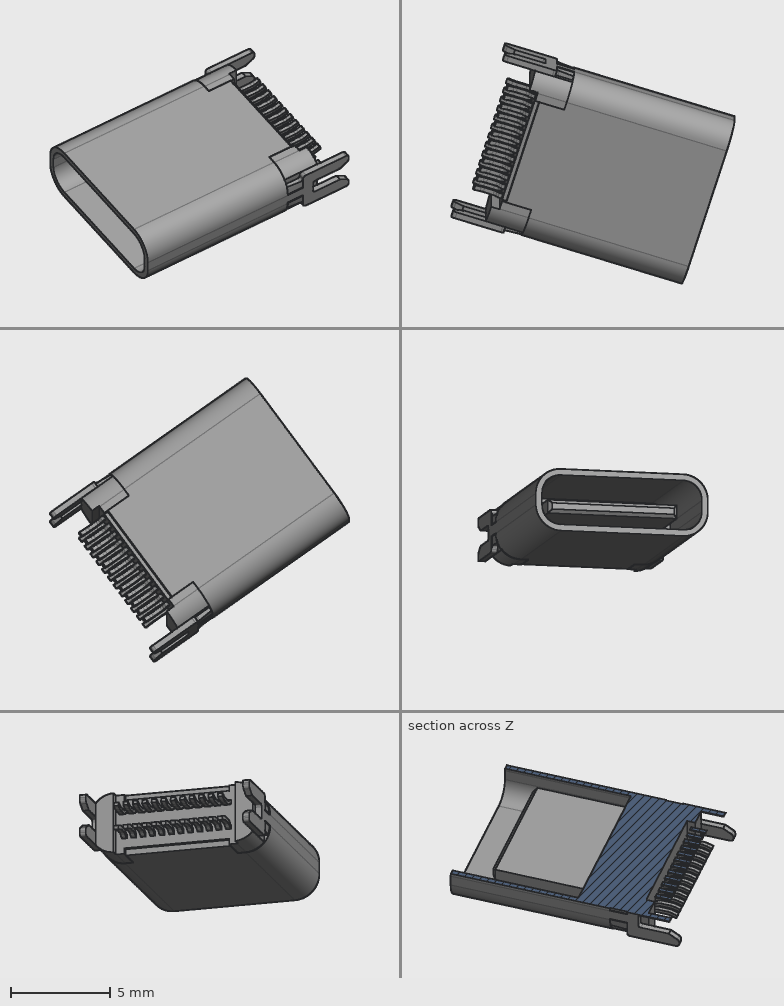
import cadquery as cq
import math

WIDTH = 8.94
HEIGHT = 3.16
LENGTH = 12.16
HALF_WIDTH = WIDTH / 2

SHELL_RADIUS = 1.29
SHELL_WALL = 0.32
SHELL_END = 9.79
CAVITY_DEPTH = 6.69

CORE_INSET = 0.02
CORE_END = 10.01
EAR_END = 10.45
EAR_INNER_X = 3.21

WINDOW_START = 8.48
WINDOW_INNER_X = 2.76
STRIP_HALF_HEIGHT = HEIGHT / 2 - SHELL_RADIUS

TONGUE_WIDTH = 6.69
TONGUE_THICKNESS = 0.68
TONGUE_START = 1.82
TONGUE_CHAMFER = 0.18

TAB_THICKNESS = 0.33
TAB_INNER_X = HALF_WIDTH - TAB_THICKNESS
TAB_HALF_HEIGHT = 1.11
TAB_START = 9.39
TAB_CORNER_RADIUS = 0.17
FORK_HALF_GAP = 0.39
FORK_END = 10.0
FORK_CORNER_RADIUS = 0.11
TIP_TAPER_START = 11.61
TIP_TAPER_ANGLE = 30.0
TIP_OUTER_RADIUS = 0.18
TIP_INNER_RADIUS = 0.24

SHOULDER_HALF_HEIGHT = 0.75
SHOULDER_FILLET = 0.12
SHOULDER_BASE_X = 4.43
SHOULDER_FRONT_X = 4.35
SHOULDER_REAR_X = 4.41

PIN_COUNT = 12
PIN_PITCH = 0.5
PIN_WIDTH = 0.24
PIN_THICKNESS = 0.2
PIN_ROOT_DEPTH = 0.24
PIN_ROOT_LENGTH = 0.07
PIN_CONTACT_Z = 0.39
PIN_CRANK_ANGLE = 35.0
PIN_CRANK_LENGTH = 0.16
PIN_CREST_RADIUS = 0.13
PIN_HEEL_RADIUS = 0.34
PIN_CONTACT_LENGTH = 0.51
PIN_FLARE_ANGLE = 18.0
PIN_FLARE_RADIUS = 0.67
PIN_FLARE_LENGTH = 0.32


def box(x_range, y_range, z_range):
    """Box spanning the given (low, high) range on each axis."""
    sizes = [high - low for low, high in (x_range, y_range, z_range)]
    return cq.Workplane("XY").box(*sizes, centered=False).translate((x_range[0], y_range[0], z_range[0]))


def rounded_bar(inset, y_start, y_end):
    """Shell outline, shrunk by an inset, extruded along Y."""
    return (
        cq.Workplane("XZ", origin=(0, y_start, 0))
        .rect(WIDTH - 2 * inset, HEIGHT - 2 * inset)
        .extrude(y_start - y_end)
        .edges("|Y")
        .fillet(SHELL_RADIUS - inset)
    )


def both_sides(solid):
    """The solid together with its mirror image in X."""
    return solid.union(solid.mirror("YZ"))


def make_shell():
    """Rounded tube whose rear corners are cut away, leaving a strip along each side."""
    shell = rounded_bar(0, 0, SHELL_END).cut(rounded_bar(SHELL_WALL, 0, CAVITY_DEPTH))
    for low, high in ((STRIP_HALF_HEIGHT, HEIGHT), (-HEIGHT, -STRIP_HALF_HEIGHT)):
        window = box((WINDOW_INNER_X, WIDTH), (WINDOW_START, LENGTH), (low, high))
        shell = shell.cut(both_sides(window))
    return shell


def make_core():
    """Rear plug with an ear on each side, stepped down behind the shell and trimmed beside the tabs."""
    core = rounded_bar(CORE_INSET, CAVITY_DEPTH, EAR_END)
    core = core.cut(box((-EAR_INNER_X, EAR_INNER_X), (CORE_END, LENGTH), (-HEIGHT, HEIGHT)))
    step_z = HEIGHT / 2 - SHELL_WALL
    for low, high in ((step_z, HEIGHT), (-HEIGHT, -step_z)):
        core = core.cut(box((-WINDOW_INNER_X, WINDOW_INNER_X), (SHELL_END, LENGTH), (low, high)))
    beside_tab = box((TAB_INNER_X, WIDTH), (WINDOW_START, LENGTH), (-HEIGHT, HEIGHT))
    return core.cut(both_sides(beside_tab))


def make_tongue():
    """Flat tongue with a chamfered front, standing on the cavity floor."""
    return (
        cq.Workplane("XZ", origin=(0, TONGUE_START, 0))
        .rect(TONGUE_WIDTH, TONGUE_THICKNESS)
        .extrude(TONGUE_START - CAVITY_DEPTH)
        .faces("<Y")
        .chamfer(TONGUE_CHAMFER)
    )


def make_tab():
    """Plate with two tapered, rounded prongs, joined to the shell by its side strip."""
    taper_rise = (LENGTH - TIP_TAPER_START) * math.tan(math.radians(TIP_TAPER_ANGLE))
    taper_end_z = FORK_HALF_GAP + taper_rise
    upper = [
        (TAB_START, TAB_HALF_HEIGHT),
        (LENGTH, TAB_HALF_HEIGHT),
        (LENGTH, taper_end_z),
        (TIP_TAPER_START, FORK_HALF_GAP),
        (FORK_END, FORK_HALF_GAP),
    ]
    lower = [(y, -z) for y, z in reversed(upper)]
    tab = (
        cq.Workplane("YZ", origin=(TAB_INNER_X, 0, 0))
        .polyline(upper + lower)
        .close()
        .extrude(TAB_THICKNESS)
    )

    corner_radii = (
        (TAB_START, TAB_HALF_HEIGHT, TAB_CORNER_RADIUS),
        (LENGTH, TAB_HALF_HEIGHT, TIP_OUTER_RADIUS),
        (LENGTH, taper_end_z, TIP_INNER_RADIUS),
        (FORK_END, FORK_HALF_GAP, FORK_CORNER_RADIUS),
    )
    mid_x = TAB_INNER_X + TAB_THICKNESS / 2
    for y, z, radius in corner_radii:
        for side in (1, -1):
            tab = tab.edges(cq.selectors.NearestToPointSelector((mid_x, y, side * z))).fillet(radius)

    strip = box((TAB_INNER_X, HALF_WIDTH), (WINDOW_START, TAB_START), (-STRIP_HALF_HEIGHT, STRIP_HALF_HEIGHT))
    tab = tab.union(strip).union(make_shoulder())
    for side in (1, -1):
        tab = tab.union(make_shoulder_fillet(side))
    return tab


def make_shoulder():
    """Block in front of the tab whose leaning outer faces widen toward the tab."""
    shoulder = cq.Workplane("XZ", origin=(0, WINDOW_START, 0))
    for distance, rim_x in ((0, SHOULDER_FRONT_X), (WINDOW_START - TAB_START, SHOULDER_REAR_X)):
        upper = [
            (TAB_INNER_X, SHOULDER_HALF_HEIGHT),
            (rim_x, SHOULDER_HALF_HEIGHT),
            (SHOULDER_BASE_X, STRIP_HALF_HEIGHT),
        ]
        lower = [(x, -z) for x, z in reversed(upper)]
        shoulder = shoulder.workplane(offset=distance).polyline(upper + lower).close()
    return shoulder.loft(ruled=True)


def make_shoulder_fillet(side):
    """Concave fillet between the front edge of the tab and the top of the shoulder."""
    y = TAB_START
    z = SHOULDER_HALF_HEIGHT
    r = SHOULDER_FILLET
    mid = r * (1 - math.sqrt(0.5))
    return (
        cq.Workplane("YZ", origin=(TAB_INNER_X, 0, 0))
        .moveTo(y, side * z)
        .lineTo(y, side * (z + r))
        .threePointArc((y - mid, side * (z + mid)), (y - r, side * z))
        .close()
        .extrude(SHOULDER_REAR_X - TAB_INNER_X)
    )


def pin_path():
    """Pin centreline in the YZ plane, from inside the core to the flared tip.

    It is traced as straight runs and bends, each bend turning by a signed angle.
    """
    crank = math.radians(PIN_CRANK_ANGLE)
    flare = math.radians(PIN_FLARE_ANGLE)
    bend_radii = PIN_CREST_RADIUS + PIN_HEEL_RADIUS
    crank_drop = bend_radii * (1 - math.cos(crank)) + PIN_CRANK_LENGTH * math.sin(crank)
    y = CORE_END - PIN_ROOT_DEPTH
    z = PIN_CONTACT_Z + PIN_THICKNESS / 2 + crank_drop
    steps = (
        (PIN_ROOT_DEPTH + PIN_ROOT_LENGTH, PIN_CREST_RADIUS, -crank),
        (PIN_CRANK_LENGTH, PIN_HEEL_RADIUS, crank),
        (PIN_CONTACT_LENGTH, PIN_FLARE_RADIUS, flare),
        (PIN_FLARE_LENGTH, 0, 0),
    )
    path = cq.Workplane("YZ").moveTo(y, z)
    heading = 0.0
    for length, radius, turn in steps:
        y += length * math.cos(heading)
        z += length * math.sin(heading)
        path = path.lineTo(y, z)
        if turn:
            chord = 2 * radius * math.sin(abs(turn) / 2)
            y_end = y + chord * math.cos(heading + turn / 2)
            z_end = z + chord * math.sin(heading + turn / 2)
            path = path.tangentArcPoint((y_end, z_end), relative=False)
            y, z = y_end, z_end
            heading += turn
    return path.wire()


def make_pins():
    """Upper and lower rows of equally spaced contact pins."""
    path = pin_path()
    start = path.val().startPoint()
    pin = cq.Workplane("XZ", origin=start.toTuple()).rect(PIN_WIDTH, PIN_THICKNESS).sweep(path)
    pair = pin.union(pin.mirror("XY"))
    first_x = -PIN_PITCH * (PIN_COUNT - 1) / 2
    pins = cq.Workplane("XY")
    for index in range(PIN_COUNT):
        pins = pins.union(pair.translate((first_x + index * PIN_PITCH, 0, 0)))
    return pins


result = (
    make_shell()
    .union(make_core())
    .union(make_tongue())
    .union(both_sides(make_tab()))
    .union(make_pins())
)